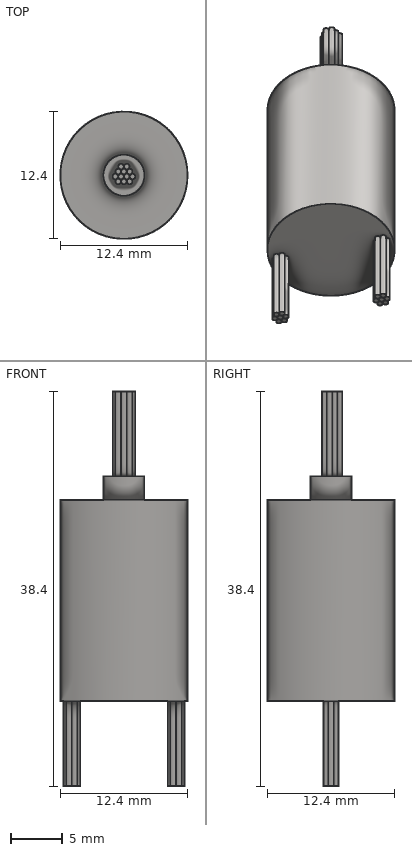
import cadquery as cq
import math

total_height = 38.4
body_diameter = 12.4
collar_diameter = 4.0
collar_height = 2.3
lead_length = 8.25
body_height = total_height - collar_height - 2 * lead_length

strand_diameter = 0.55
strand_gap = 0.02
strand_pitch = strand_diameter + strand_gap
row_pitch = strand_pitch * math.sqrt(3) / 2

top_lead_rows = [2, 3, 4, 3]
bottom_lead_rows = [2, 3, 2]
top_lead_y = 0.1
bottom_lead_x = 5.05

collar_top = body_height + collar_height


def strand_centers(rows, center_x, center_y):
    """Centers of close-packed strands, with every row centered on center_x."""
    centers = []
    for row, count in enumerate(rows):
        y = center_y + ((len(rows) - 1) / 2 - row) * row_pitch
        for i in range(count):
            x = center_x + (i - (count - 1) / 2) * strand_pitch
            centers.append((x, y))
    return centers


def lead(rows, center_x, center_y, bottom):
    """A stranded lead standing along Z from the given height."""
    centers = strand_centers(rows, center_x, center_y)
    plane = cq.Workplane("XY", origin=(0, 0, bottom))
    return plane.pushPoints(centers).circle(strand_diameter / 2).extrude(lead_length)


result = cq.Workplane("XY").circle(body_diameter / 2).extrude(body_height)
collar = (
    cq.Workplane("XY", origin=(0, 0, body_height))
    .circle(collar_diameter / 2)
    .extrude(collar_height)
)
result = result.union(collar)

result = result.union(lead(top_lead_rows, 0, top_lead_y, collar_top))
for side in (-1, 1):
    result = result.union(lead(bottom_lead_rows, side * bottom_lead_x, 0, -lead_length))